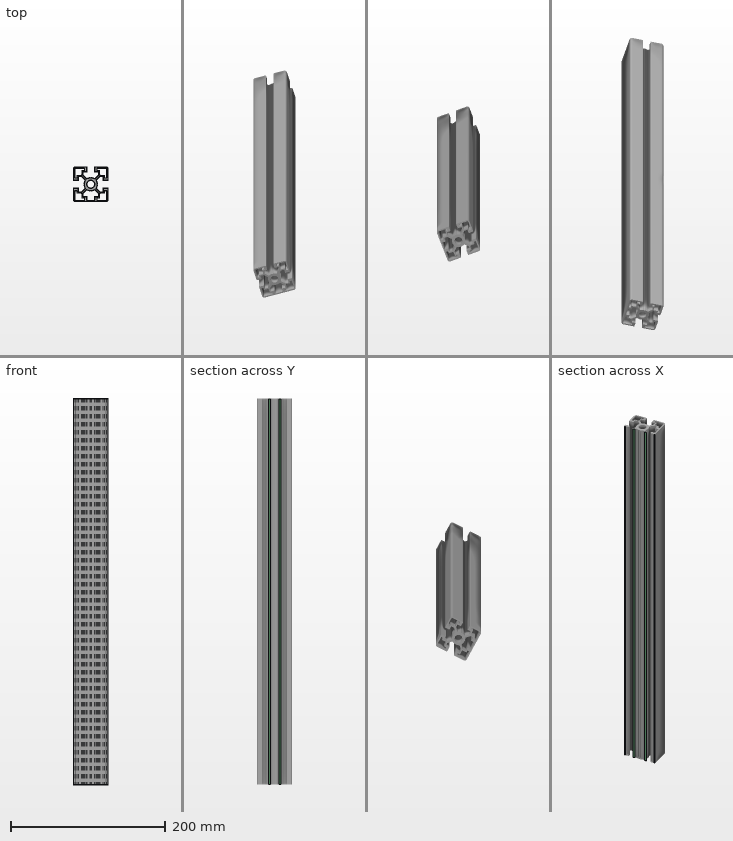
import cadquery as cq
import math

SIDE = 45.0
LENGTH = 500.0
HALF = SIDE / 2
CORNER_RADIUS = 3.0

SKIN = 1.8
WALL = 1.5
LIP_WALL = 1.8
SKIN_LEVEL = HALF - SKIN

SLOT_HALF = 5.0
LIP_LEVEL = 16.0
BEVEL_WIDTH = 1.1
BEVEL_ANGLE = 15.0
BEVEL_DEPTH = BEVEL_WIDTH * math.tan(math.radians(BEVEL_ANGLE))

GROOVE_HALF = 10.0
FLANK_OFFSET = 1.9

FLOOR_LEVEL = 8.6
MARK_HALF = 1.0
MARK_ANGLE = 25.0
FLOOR_BREAK_HALF = 3.8
INNER_SLOPE = math.tan(math.radians(15.0))
OUTER_SLOPE = math.tan(math.radians(19.0))
MARK_LEVEL = FLOOR_LEVEL - MARK_HALF * math.tan(math.radians(MARK_ANGLE))
BREAK_LEVEL = FLOOR_LEVEL - (FLOOR_BREAK_HALF - MARK_HALF) * INNER_SLOPE
FLOOR_HALF = (BREAK_LEVEL + OUTER_SLOPE * FLOOR_BREAK_HALF - FLANK_OFFSET) / (1 + OUTER_SLOPE)

CHAMBER_INNER = GROOVE_HALF + WALL
CHAMBER_RADIUS = 1.0
POCKET_END = 8.4
POCKET_LEVEL = LIP_LEVEL + LIP_WALL

CORE_BORE = 10.0


def prism(points):
    """Full-length prism on a closed outline."""
    return cq.Workplane("XY").polyline(points).close().extrude(LENGTH)


def turned(body, angle):
    """Body turned about the profile axis."""
    return body.rotate((0, 0, 0), (0, 0, 1), angle)


def groove(mouth):
    """T-slot facing +Y; mouth holds the right-hand points above the lip."""
    right = mouth + [
        (SLOT_HALF, LIP_LEVEL),
        (GROOVE_HALF, LIP_LEVEL),
        (GROOVE_HALF, GROOVE_HALF + FLANK_OFFSET),
        (FLOOR_HALF, FLOOR_HALF + FLANK_OFFSET),
        (FLOOR_BREAK_HALF, BREAK_LEVEL),
        (MARK_HALF, FLOOR_LEVEL),
    ]
    left = [(-x, y) for x, y in reversed(right)]
    return prism(right + [(0, MARK_LEVEL)] + left)


def open_groove():
    """T-slot open at the face, with shallow bevels on the lips."""
    return groove([(SLOT_HALF + BEVEL_WIDTH, HALF), (SLOT_HALF, HALF - BEVEL_DEPTH)])


def covered_groove():
    """T-slot closed by the skin."""
    return groove([(SLOT_HALF, SKIN_LEVEL)])


def chamber():
    """Corner cavity in the +X +Y corner, symmetric about the diagonal."""
    body = prism([
        (CHAMBER_INNER, CHAMBER_INNER),
        (POCKET_LEVEL, CHAMBER_INNER),
        (POCKET_LEVEL, POCKET_END),
        (SKIN_LEVEL, POCKET_END),
        (SKIN_LEVEL, SKIN_LEVEL),
        (POCKET_END, SKIN_LEVEL),
        (POCKET_END, POCKET_LEVEL),
        (CHAMBER_INNER, POCKET_LEVEL),
    ])
    inner_corner = cq.selectors.NearestToPointSelector((CHAMBER_INNER, CHAMBER_INNER, LENGTH / 2))
    return body.edges(inner_corner).fillet(CHAMBER_RADIUS)


result = cq.Workplane("XY").rect(SIDE, SIDE).extrude(LENGTH).edges("|Z").fillet(CORNER_RADIUS)

for angle in (0, 90, 270):
    result = result.cut(turned(open_groove(), angle))
result = result.cut(turned(covered_groove(), 180))

for angle in (0, 90, 180, 270):
    result = result.cut(turned(chamber(), angle))

result = result.cut(cq.Workplane("XY").circle(CORE_BORE / 2).extrude(LENGTH))